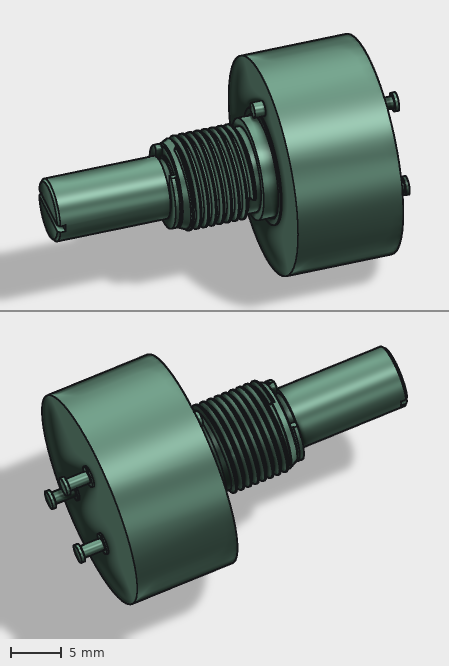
import cadquery as cq
import math


BODY_DIAMETER = 22.225
BODY_LENGTH = 10.92

PLATE_OUTER_DIAMETER = 11.9
PLATE_INNER_DIAMETER = 10.6
PLATE_THICKNESS = 0.15
PIN_DIAMETER = 1.55
PIN_LENGTH = 1.1
PIN_HEIGHT = 7.4

COLLAR_DIAMETER = 10.32
COLLAR_DEPTH = 1.62
THREAD_DIAMETER = 9.525
THREAD_ROOT_DIAMETER = 8.64
THREAD_PITCH = 25.4 / 32
THREAD_START = 2.44
THREAD_TURNS = 8.25
THREAD_FLANK_ANGLE = 30
THREAD_CREST_WIDTH = 0.16
ROOT_OVERLAP = 0.05
NOSE_START = 8.92
NOSE_DEPTH = 9.69
NOSE_START_DIAMETER = 9.2
NOSE_END_DIAMETER = 8.5
BOSS_DIAMETER = 7.92
BOSS_DEPTH = 9.78

RING_DIAMETER = 8.48
RING_BACK_DIAMETER = 8.38
RING_STEP_DEPTH = 9.98
RING_DEPTH = 10.44
RING_OPENING = 4.24
RING_LUG_HEIGHT = 3.22
RING_LUG_RADIUS = 0.25

SHAFT_DIAMETER = 6.35
SHAFT_DEPTH = 22.28
SHAFT_CHAMFER = 0.25
SHOULDER_DEPTH = 10.64
GROOVE_DIAMETER = 5.55
STEP_DIAMETER = 6.1
STEP_DEPTH = RING_STEP_DEPTH
SLOT_WIDTH = 0.78
SLOT_DEPTH = 0.8

TERMINAL_LENGTH = 2.87
TERMINAL_CIRCLE_RADIUS = 4.74
TERMINAL_ANGLES = (90, 225, 315)
STEM_DIAMETER = 1.25
HEAD_DIAMETER = 1.9
HEAD_THICKNESS = 0.4
BASE_DIAMETER = 2.2
BASE_THICKNESS = 0.2


def cylinder(diameter, start, end, x=0, z=0):
    """Cylinder along Y between two depths in front of the body face."""
    base = cq.Workplane("XZ", origin=(0, -start, 0))
    return base.center(x, z).circle(diameter / 2).extrude(end - start)


def make_plate():
    plate = cylinder(PLATE_OUTER_DIAMETER, 0, PLATE_THICKNESS)
    return plate.cut(cylinder(PLATE_INNER_DIAMETER, 0, PLATE_THICKNESS))


def make_thread():
    """Right-handed helical ridge whose first crest starts on the +X side."""
    root = THREAD_ROOT_DIAMETER / 2 - ROOT_OVERLAP
    crest = THREAD_DIAMETER / 2
    half_crest = THREAD_CREST_WIDTH / 2
    half_root = half_crest + (crest - root) * math.tan(math.radians(THREAD_FLANK_ANGLE))
    helix = cq.Wire.makeHelix(THREAD_PITCH, THREAD_PITCH * THREAD_TURNS, root)
    ridge = (
        cq.Workplane("XZ")
        .polyline([(root, -half_root), (crest, -half_crest), (crest, half_crest), (root, half_root)])
        .close()
        .sweep(cq.Workplane(obj=helix), isFrenet=True)
    )
    return ridge.rotate((0, 0, 0), (1, 0, 0), 90).translate((0, -THREAD_START, 0))


def make_nose():
    """Cone that narrows from below the thread crest to the end of the bushing."""
    return (
        cq.Workplane("XY")
        .polyline([
            (0, -NOSE_START),
            (NOSE_START_DIAMETER / 2, -NOSE_START),
            (NOSE_END_DIAMETER / 2, -NOSE_DEPTH),
            (0, -NOSE_DEPTH),
        ])
        .close()
        .revolve(360, (0, 0, 0), (0, 1, 0))
    )


def make_bushing():
    core = cylinder(THREAD_ROOT_DIAMETER, 0, NOSE_START)
    collar = cylinder(COLLAR_DIAMETER, 0, COLLAR_DEPTH)
    boss = cylinder(BOSS_DIAMETER, NOSE_DEPTH, BOSS_DEPTH)
    return core.union(make_nose()).union(collar).union(boss).union(make_thread())


def make_ring():
    """Retaining ring, open towards +Z between two lugs with flat tops."""
    radius = RING_DIAMETER / 2
    thickness = RING_DEPTH - BOSS_DEPTH
    ring = cylinder(RING_DIAMETER, RING_STEP_DEPTH, RING_DEPTH)
    ring = ring.union(cylinder(RING_BACK_DIAMETER, BOSS_DEPTH, RING_STEP_DEPTH))
    front = cq.Workplane("XZ", origin=(0, -BOSS_DEPTH, 0))
    above_lugs = front.center(0, RING_LUG_HEIGHT + radius / 2).rect(2 * radius, radius).extrude(thickness)
    opening = front.center(0, radius / 2).rect(RING_OPENING, radius).extrude(thickness)
    ring = ring.cut(above_lugs).cut(opening)
    inner_corner = cq.selectors.BoxSelector(
        (-RING_OPENING / 2 - RING_LUG_RADIUS, -RING_DEPTH, RING_LUG_HEIGHT - RING_LUG_RADIUS),
        (RING_OPENING / 2 + RING_LUG_RADIUS, -BOSS_DEPTH, RING_LUG_HEIGHT + RING_LUG_RADIUS),
    )
    return ring.edges("|Y").edges(inner_corner).fillet(RING_LUG_RADIUS)


def make_shaft():
    step = cylinder(STEP_DIAMETER, BOSS_DEPTH, STEP_DEPTH)
    neck = cylinder(GROOVE_DIAMETER, BOSS_DEPTH, SHOULDER_DEPTH)
    shaft = cylinder(SHAFT_DIAMETER, SHOULDER_DEPTH, SHAFT_DEPTH)
    shaft = shaft.faces("<Y").chamfer(SHAFT_CHAMFER)
    slot = (
        cq.Workplane("XZ", origin=(0, -(SHAFT_DEPTH - SLOT_DEPTH), 0))
        .rect(SHAFT_DIAMETER, SLOT_WIDTH)
        .extrude(SLOT_DEPTH)
    )
    return shaft.cut(slot).union(neck).union(step)


def make_terminal(angle):
    x = TERMINAL_CIRCLE_RADIUS * math.cos(math.radians(angle))
    z = TERMINAL_CIRCLE_RADIUS * math.sin(math.radians(angle))
    back = -BODY_LENGTH
    tip = back - TERMINAL_LENGTH
    stem = cylinder(STEM_DIAMETER, tip, back, x, z)
    head = cylinder(HEAD_DIAMETER, tip, tip + HEAD_THICKNESS, x, z)
    base = cylinder(BASE_DIAMETER, back - BASE_THICKNESS, back, x, z)
    return stem.union(head).union(base)


result = cylinder(BODY_DIAMETER, -BODY_LENGTH, 0)
result = result.union(make_plate())
result = result.union(cylinder(PIN_DIAMETER, 0, PIN_LENGTH, 0, PIN_HEIGHT))
result = result.union(make_bushing())
result = result.union(make_shaft())
result = result.union(make_ring())
for terminal_angle in TERMINAL_ANGLES:
    result = result.union(make_terminal(terminal_angle))